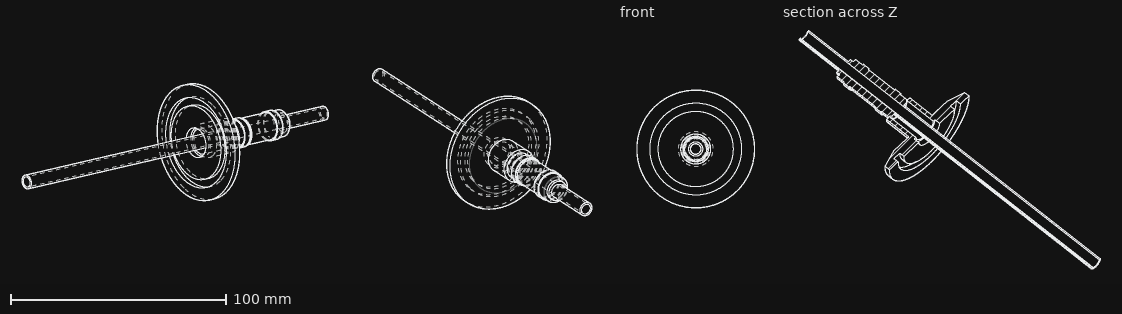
import cadquery as cq

total_length = 184.2
tube_back = 79.2
tube_front = tube_back - total_length
tube_radius = 3.3
bore_radius = 2.4

flange_radius = 27.5
rim_thickness = 3.0
flange_thickness = 5.7
taper_inner_radius = 18.5
groove_outer_radius = 21.4
groove_inner_radius = 17.5
groove_depth = 2.5

hub_radius = 8.1
hub_back = 19.7
body_radius = 6.5
body_back = 52.5
body_edge_fillet = 0.2
end_collar_radius = 4.8
end_collar_back = 54.1

band_radius = 7.0
band_width = 3.5
band_starts = (24.3, 44.4)
shoulder_height = 0.1
shoulder_radius = body_radius + shoulder_height
shoulder_width = 1.1

mouth_radius = 7.0
mouth_depth = 3.0
recess_radius = 5.9
recess_depth = hub_back
seat_radius = 5.7
seat_height = 0.7
seat_chamfer = 0.5


def cylinder(radius, start, end):
    """Solid cylinder on the Y axis from Y = start to Y = end."""
    plane = cq.Workplane("XZ", origin=(0, start, 0))
    return plane.circle(radius).extrude(start - end)


def make_flange():
    profile = [
        (0, 0),
        (flange_radius, 0),
        (flange_radius, rim_thickness),
        (taper_inner_radius, flange_thickness),
        (0, flange_thickness),
    ]
    flange = cq.Workplane("XY").polyline(profile).close().revolve(360, (0, 0, 0), (0, 1, 0))
    groove = cylinder(groove_outer_radius, 0, groove_depth)
    groove = groove.cut(cylinder(groove_inner_radius, 0, groove_depth))
    return flange.cut(groove)


def make_body():
    body = cylinder(body_radius, 0, body_back).faces(">Y").edges().fillet(body_edge_fillet)
    body = body.union(cylinder(hub_radius, 0, hub_back))
    body = body.union(cylinder(end_collar_radius, 0, end_collar_back))
    for start in band_starts:
        body = body.union(cylinder(band_radius, start, start + band_width))
    shoulder_start = band_starts[0] + band_width
    return body.union(cylinder(shoulder_radius, shoulder_start, shoulder_start + shoulder_width))


def make_recess():
    recess = cylinder(recess_radius, 0, recess_depth)
    seat = cylinder(seat_radius, recess_depth - seat_height, recess_depth)
    seat = seat.faces("<Y").edges().chamfer(seat_chamfer)
    mouth = cylinder(mouth_radius, 0, mouth_depth)
    return recess.cut(seat).union(mouth)


housing = make_flange().union(make_body()).cut(make_recess())
tube = cylinder(tube_radius, tube_front, tube_back)
bore = cylinder(bore_radius, tube_front, tube_back)
result = housing.union(tube).cut(bore)